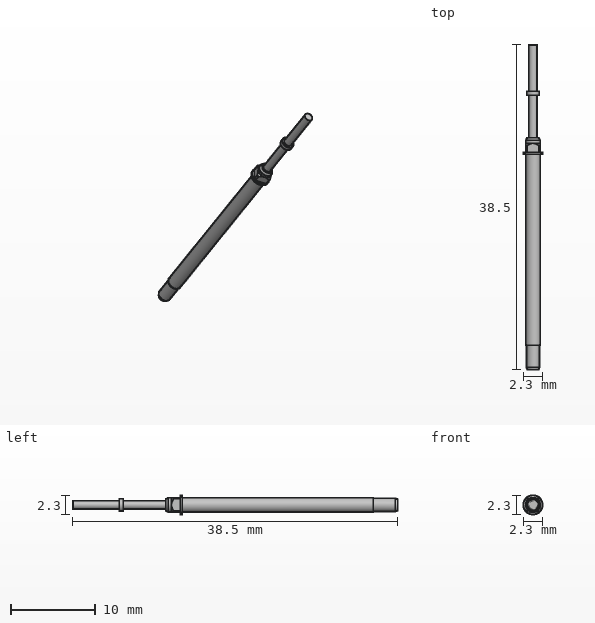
import cadquery as cq

overall_length = 38.45

tail_diameter = 1.0
collar_diameter = 1.5
barrel_diameter = 1.73
flange_diameter = 2.3
tip_diameter = 1.58
tip_end_diameter = 1.3
nose_end_diameter = 1.4
square_corner_diameter = 2.23

tail_end_length = 5.45
collar_length = 0.5
neck_length = 5.0
nose_length = 0.35
nose_land_length = 0.35
square_length = 1.05
flange_length = 0.23
tip_length = 2.92
tip_bevel_length = 0.3

tail_end_y = overall_length / 2
collar_back_y = tail_end_y - tail_end_length
collar_front_y = collar_back_y - collar_length
nose_back_y = collar_front_y - neck_length
nose_front_y = nose_back_y - nose_length
square_back_y = nose_front_y - nose_land_length
flange_back_y = square_back_y - square_length
flange_front_y = flange_back_y - flange_length
tip_end_y = -overall_length / 2
barrel_front_y = tip_end_y + tip_length


def turned_section(start_diameter, end_diameter, start_y, end_y):
    """Solid cylinder or cone on the Y axis, from start_y to end_y."""
    profile = [
        (start_y, 0),
        (start_y, start_diameter / 2),
        (end_y, end_diameter / 2),
        (end_y, 0),
    ]
    return cq.Workplane("YZ").polyline(profile).close().revolve(360, (0, 0, 0), (1, 0, 0))


def square_section():
    """Square wrench flats, flush with the barrel, with turned and back-bevelled corners."""
    square = (
        cq.Workplane("XZ", origin=(0, flange_back_y, 0))
        .rect(barrel_diameter, barrel_diameter)
        .extrude(-square_length)
    )
    bevel_length = (square_corner_diameter - barrel_diameter) / 2
    bevel_front_y = square_back_y - bevel_length
    corner_limit = turned_section(
        square_corner_diameter, square_corner_diameter, flange_back_y, bevel_front_y
    ).union(turned_section(square_corner_diameter, barrel_diameter, bevel_front_y, square_back_y))
    return square.intersect(corner_limit)


def tip_section():
    """Plunger tip with a bevelled front end."""
    shoulder_y = tip_end_y + tip_bevel_length
    shaft = turned_section(tip_diameter, tip_diameter, shoulder_y, barrel_front_y)
    return shaft.union(turned_section(tip_end_diameter, tip_diameter, tip_end_y, shoulder_y))


tail = turned_section(tail_diameter, tail_diameter, nose_back_y, tail_end_y)
collar = turned_section(collar_diameter, collar_diameter, collar_front_y, collar_back_y)
nose = turned_section(barrel_diameter, nose_end_diameter, nose_front_y, nose_back_y)
barrel = turned_section(barrel_diameter, barrel_diameter, barrel_front_y, nose_front_y)
flange = turned_section(flange_diameter, flange_diameter, flange_front_y, flange_back_y)

result = (
    barrel.union(tip_section())
    .union(flange)
    .union(square_section())
    .union(nose)
    .union(tail)
    .union(collar)
)